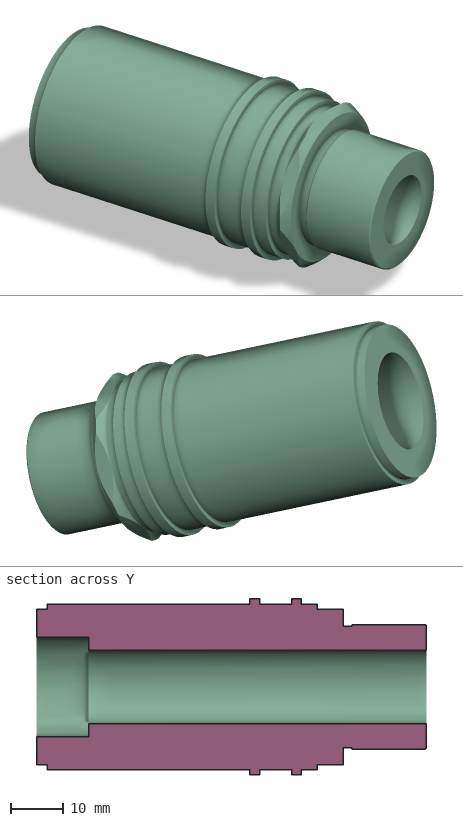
import cadquery as cq
import math

TOTAL_LENGTH = 75.0
FRONT_LIP_LENGTH = 2.0
BODY_END = 54.0
HEX_START = 56.0
HEX_END = 59.0
SPIGOT_START = 60.5
RING_STARTS = (41.0, 49.0)
RING_WIDTH = 2.0

COLLAR_RADIUS = 15.0
BODY_RADIUS = 16.0
RING_RADIUS = 17.0
SPIGOT_RADIUS = 12.0
SPIGOT_CHAMFER = 0.25
NECK_RADIUS = SPIGOT_RADIUS - SPIGOT_CHAMFER

HEX_ACROSS_FLATS = 2 * COLLAR_RADIUS
HEX_WIDTH = HEX_END - HEX_START
HEX_RIDGE_RADIUS = COLLAR_RADIUS + HEX_WIDTH / 2

SOCKET_RADIUS = 9.5
SOCKET_DEPTH = 10.0
BORE_RADIUS = 7.0


def cylinder(start, end, radius):
    """Solid cylinder on the X axis between two stations."""
    return cq.Workplane("YZ", origin=(start, 0, 0)).circle(radius).extrude(end - start)


def make_body():
    """Sleeve on a slimmer collar that shows at both ends, with two raised rings."""
    body = cylinder(0, HEX_START, COLLAR_RADIUS)
    body = body.union(cylinder(FRONT_LIP_LENGTH, BODY_END, BODY_RADIUS))
    for ring_start in RING_STARTS:
        body = body.union(cylinder(ring_start, ring_start + RING_WIDTH, RING_RADIUS))
    return body


def make_hexagon():
    """Hexagon whose corners are turned to two 45 degree cones meeting at a ridge."""
    double_cone = (
        cq.Workplane("XY")
        .moveTo(HEX_START, 0)
        .lineTo(HEX_START, COLLAR_RADIUS)
        .lineTo(HEX_START + HEX_WIDTH / 2, HEX_RIDGE_RADIUS)
        .lineTo(HEX_END, COLLAR_RADIUS)
        .lineTo(HEX_END, 0)
        .close()
        .revolve(360, (0, 0, 0), (1, 0, 0))
    )
    across_corners = HEX_ACROSS_FLATS / math.cos(math.pi / 6)
    prism = (
        cq.Workplane("YZ", origin=(HEX_START, 0, 0))
        .polygon(6, across_corners)
        .extrude(HEX_WIDTH)
    )
    return prism.intersect(double_cone)


def make_spigot():
    """Rear spigot with both rims chamfered, behind a short neck."""
    neck = cylinder(HEX_END, SPIGOT_START, NECK_RADIUS)
    spigot = cylinder(SPIGOT_START, TOTAL_LENGTH, SPIGOT_RADIUS)
    return neck.union(spigot.faces("<X or >X").chamfer(SPIGOT_CHAMFER))


def make_bore():
    """Wide socket from the front face, then a narrower hole right through."""
    socket = cylinder(0, SOCKET_DEPTH, SOCKET_RADIUS)
    through_hole = cylinder(0, TOTAL_LENGTH, BORE_RADIUS)
    return socket.union(through_hole)


result = make_body().union(make_hexagon()).union(make_spigot()).cut(make_bore())